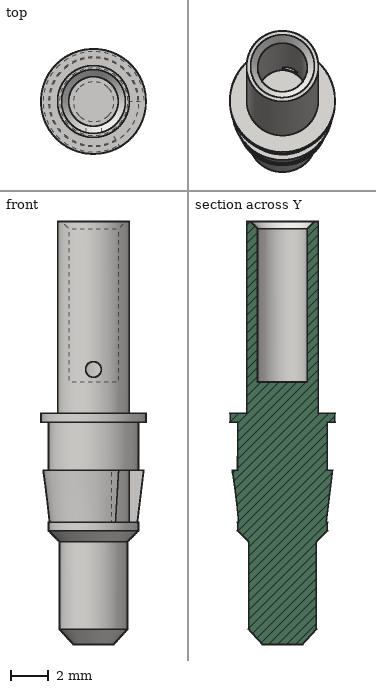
import cadquery as cq

total_length = 22.43
tip_chamfer_height = 0.8
pin_top = 5.45
collar_bottom = 6.03
groove_bottom = 6.48
groove_top = 9.25
flange_bottom = 11.78
flange_top = 12.27

tip_diameter = 2.13
pin_diameter = 3.61
collar_diameter = 4.78
groove_diameter = 3.81
flange_diameter = 5.59
barrel_diameter = 3.81

bore_diameter = 2.62
bore_mouth_diameter = 3.39
bore_depth = 8.5
inspection_hole_diameter = 0.83
inspection_hole_height = 14.58

ring_bottom_diameter = 4.67
ring_top_diameter = 5.34
ring_gap_angle = 60.0
ring_gap_start_angle = -60.0


def revolve_profile(points, angle=360.0):
    """Revolve a closed (radius, height) outline about the Z axis, starting at +X."""
    return cq.Workplane("XZ").polyline(points).close().revolve(angle, (0, 0), (0, 1))


def make_body():
    """Stepped solid: pin, collar, ring groove, flange and crimp barrel."""
    return revolve_profile([
        (0, 0),
        (tip_diameter / 2, 0),
        (pin_diameter / 2, tip_chamfer_height),
        (pin_diameter / 2, pin_top),
        (collar_diameter / 2, collar_bottom),
        (collar_diameter / 2, groove_bottom),
        (groove_diameter / 2, groove_bottom),
        (groove_diameter / 2, groove_top),
        (collar_diameter / 2, groove_top),
        (collar_diameter / 2, flange_bottom),
        (flange_diameter / 2, flange_bottom),
        (flange_diameter / 2, flange_top),
        (barrel_diameter / 2, flange_top),
        (barrel_diameter / 2, total_length),
        (0, total_length),
    ])


def make_split_ring():
    """Conical ring, wider at the top, open over the gap angle."""
    ring = revolve_profile(
        [
            (groove_diameter / 2, groove_bottom),
            (ring_bottom_diameter / 2, groove_bottom),
            (ring_top_diameter / 2, groove_top),
            (groove_diameter / 2, groove_top),
        ],
        360.0 - ring_gap_angle,
    )
    gap_end_angle = ring_gap_start_angle + ring_gap_angle
    return ring.rotate((0, 0, 0), (0, 0, 1), gap_end_angle)


def make_bore():
    """Blind flat-bottomed bore with a 45 degree lead-in at its mouth."""
    lead_in_depth = (bore_mouth_diameter - bore_diameter) / 2
    return revolve_profile([
        (0, total_length - bore_depth),
        (bore_diameter / 2, total_length - bore_depth),
        (bore_diameter / 2, total_length - lead_in_depth),
        (bore_mouth_diameter / 2, total_length),
        (0, total_length),
    ])


def make_inspection_hole():
    """Radial hole from the bore out through the -Y wall of the barrel."""
    return (
        cq.Workplane("XZ")
        .center(0, inspection_hole_height)
        .circle(inspection_hole_diameter / 2)
        .extrude(barrel_diameter)
    )


result = (
    make_body()
    .union(make_split_ring())
    .cut(make_bore())
    .cut(make_inspection_hole())
)